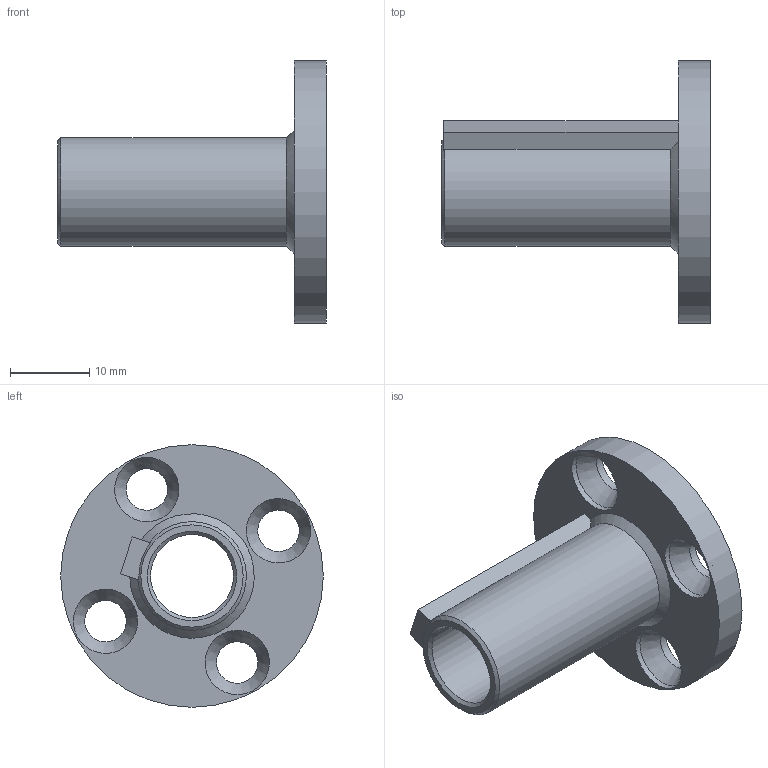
import cadquery as cq

total_length = 34.01
flange_diameter = 33.24
flange_thickness = 4.05
flange_face_x = total_length - flange_thickness

tube_diameter = 13.75
bore_diameter = 10.5
end_chamfer = 0.4
collar_size = 1.0

hole_count = 4
hole_diameter = 5.25
countersink_diameter = 8.15
counterbore_depth = 0.75
countersink_depth = 2.25
bolt_circle_radius = 12.35

key_angle = 17.4
key_width = 4.9
key_top_radius = 8.7
key_start_x = 0.25
first_hole_angle = key_angle + 180.0 / hole_count


def make_body():
    """Tube, cone and flange turned around X as one profile, before boring."""
    tube_radius = tube_diameter / 2
    flange_radius = flange_diameter / 2
    profile = (
        cq.Workplane("XY")
        .moveTo(0, 0)
        .lineTo(0, tube_radius - end_chamfer)
        .lineTo(end_chamfer, tube_radius)
        .lineTo(flange_face_x - collar_size, tube_radius)
        .lineTo(flange_face_x, tube_radius + collar_size)
        .lineTo(flange_face_x, flange_radius)
        .lineTo(total_length, flange_radius)
        .lineTo(total_length, 0)
        .close()
    )
    return profile.revolve(360, (0, 0, 0), (1, 0, 0))


def make_key():
    """Rectangular bar from the axis out to the key's top, ending at the flange."""
    bar = cq.Workplane("XY").box(
        flange_face_x - key_start_x, key_top_radius, key_width, centered=(False, False, True)
    )
    return bar.translate((key_start_x, 0, 0)).rotate((0, 0, 0), (1, 0, 0), key_angle)


def make_bore():
    """Through bore with a chamfered mouth at the free end."""
    bore_radius = bore_diameter / 2
    profile = (
        cq.Workplane("XY")
        .moveTo(0, 0)
        .lineTo(0, bore_radius + end_chamfer)
        .lineTo(end_chamfer, bore_radius)
        .lineTo(total_length, bore_radius)
        .lineTo(total_length, 0)
        .close()
    )
    return profile.revolve(360, (0, 0, 0), (1, 0, 0))


def make_flange_hole(angle):
    """Through hole with a counterbored countersink on the tube side of the flange."""
    cone_start_x = flange_face_x + counterbore_depth
    cone_end_x = cone_start_x + countersink_depth
    profile = (
        cq.Workplane("XY")
        .moveTo(flange_face_x, 0)
        .lineTo(flange_face_x, countersink_diameter / 2)
        .lineTo(cone_start_x, countersink_diameter / 2)
        .lineTo(cone_end_x, hole_diameter / 2)
        .lineTo(total_length, hole_diameter / 2)
        .lineTo(total_length, 0)
        .close()
    )
    hole = profile.revolve(360, (0, 0, 0), (1, 0, 0)).translate((0, bolt_circle_radius, 0))
    return hole.rotate((0, 0, 0), (1, 0, 0), angle)


result = make_body().union(make_key()).cut(make_bore())
for index in range(hole_count):
    result = result.cut(make_flange_hole(first_hole_angle + index * 360.0 / hole_count))